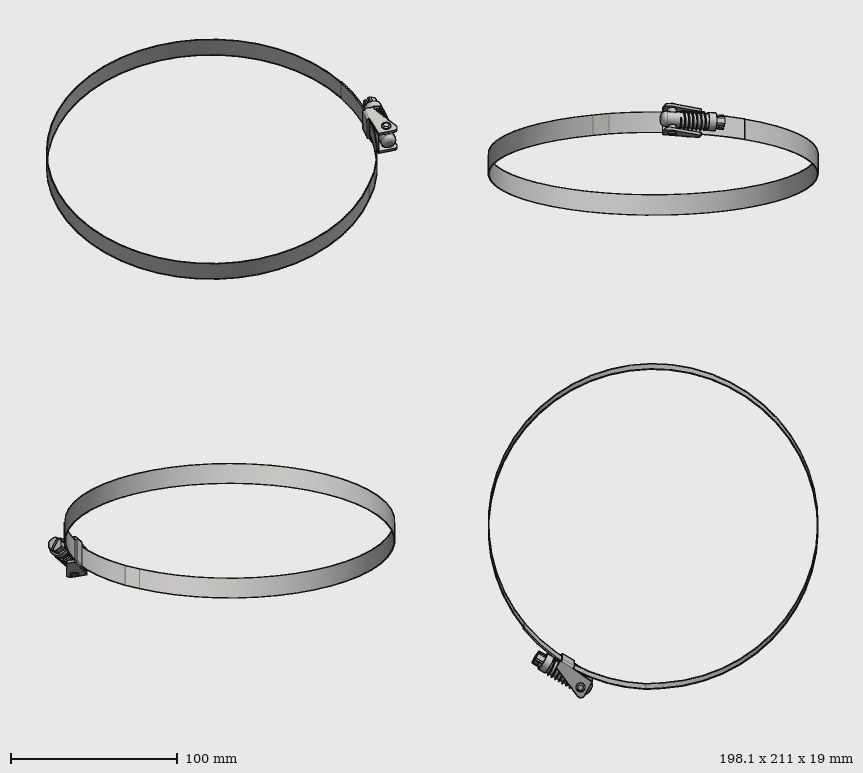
import cadquery as cq
import math

OVERALL_LENGTH = 211.0

BAND_DIAMETER = 198.1
BAND_THICKNESS = 0.5
BAND_WIDTH = 12.7
JOG_START_ANGLE = 55.0
JOG_END_ANGLE = 61.0
TAIL_END_ANGLE = 110.0

PLATE_THICKNESS = 1.7
PLATE_OUTER_Z = 8.2
PLATE_LEFT = -4.9
PLATE_RIGHT = 18.8
PLATE_FOOT_RIGHT = 18.4
PLATE_CORNER_RADIUS = 2.5
PLATE_SLOPE = math.radians(22.5)
PLATE_HEEL_Y = 98.5
FLOOR_BOTTOM = 99.5
FLOOR_THICKNESS = 0.5
STRAP_LEFT = -4.2
STRAP_RIGHT = 4.2
STRAP_BOTTOM = 97.0
STRAP_THICKNESS = 1.3
STRAP_EDGE_RADIUS = 1.3

SCREW_Y = 106.0
HEAD_START = -17.7
COLLAR_START = -12.7
COLLAR_END = -8.0
TIP_END = 20.9
HEAD_ACROSS_FLATS = 8.0
HEAD_CORNER_DIAMETER = 8.7
SLOT_WIDTH = 1.3
SLOT_DEPTH = 3.2
SLOT_ANGLE = 30.0
COLLAR_RADIUS = 5.5
SHANK_RADIUS = 4.6
TIP_ROUNDING = 3.2
THREAD_RADIUS = 5.7
THREAD_PITCH = 2.5
THREAD_TURNS = 6.5
THREAD_START = -7.0
THREAD_ROOT_WIDTH = 0.8
THREAD_CREST_WIDTH = 0.5
THREAD_ROOT_OVERLAP = 0.2

PIN_X = 14.0
PIN_RADIUS = 2.7
PIN_OUTER_Z = 9.5
PIN_INNER_Z = 3.8
PIN_CHAMFER_WIDTH = 1.0
PIN_CHAMFER_HEIGHT = 0.5

BAND_RADIUS = BAND_DIAMETER / 2
PLATE_INNER_Z = PLATE_OUTER_Z - PLATE_THICKNESS
PLATE_TOP = OVERALL_LENGTH - BAND_RADIUS


def polar(radius, angle):
    """Point at a radius and an angle in degrees from +X."""
    turn = math.radians(angle)
    return (radius * math.cos(turn), radius * math.sin(turn))


def make_band():
    inner = BAND_RADIUS - BAND_THICKNESS
    lapped = BAND_RADIUS + BAND_THICKNESS
    start = math.degrees(math.acos(STRAP_RIGHT / BAND_RADIUS))
    turn_end = 360.0 + JOG_START_ANGLE

    def arc(outline, radius, first, last):
        return outline.threePointArc(polar(radius, (first + last) / 2), polar(radius, last))

    turn = cq.Workplane("XY").moveTo(*polar(BAND_RADIUS, start))
    turn = arc(turn, BAND_RADIUS, start, turn_end)
    turn = turn.lineTo(*polar(inner, JOG_START_ANGLE))
    turn = arc(turn, inner, turn_end, start)
    turn = turn.close().extrude(BAND_WIDTH / 2, both=True)

    tail = cq.Workplane("XY").moveTo(*polar(BAND_RADIUS, JOG_START_ANGLE))
    tail = tail.lineTo(*polar(lapped, JOG_END_ANGLE))
    tail = arc(tail, lapped, JOG_END_ANGLE, TAIL_END_ANGLE)
    tail = tail.lineTo(*polar(BAND_RADIUS, TAIL_END_ANGLE))
    tail = arc(tail, BAND_RADIUS, TAIL_END_ANGLE, JOG_END_ANGLE)
    tail = tail.lineTo(*polar(inner, JOG_START_ANGLE))
    tail = tail.close().extrude(BAND_WIDTH / 2, both=True)
    return turn.union(tail)


def make_side_plate(bottom_z):
    corner_x = PLATE_RIGHT - PLATE_CORNER_RADIUS
    corner_y = PLATE_TOP - PLATE_CORNER_RADIUS
    slope_end = (
        corner_x - PLATE_CORNER_RADIUS * math.sin(PLATE_SLOPE),
        corner_y + PLATE_CORNER_RADIUS * math.cos(PLATE_SLOPE),
    )
    slope_start_y = slope_end[1] - (slope_end[0] - PLATE_LEFT) * math.tan(PLATE_SLOPE)
    return (
        cq.Workplane("XY", origin=(0, 0, bottom_z))
        .moveTo(PLATE_LEFT, PLATE_HEEL_Y)
        .lineTo(STRAP_RIGHT, PLATE_HEEL_Y)
        .lineTo(PLATE_FOOT_RIGHT, FLOOR_BOTTOM)
        .lineTo(PLATE_RIGHT, corner_y)
        .threePointArc((corner_x, PLATE_TOP), slope_end)
        .lineTo(PLATE_LEFT, slope_start_y)
        .close()
        .extrude(PLATE_THICKNESS)
    )


def make_strap():
    """U-shaped strap that carries the band from below."""
    length = STRAP_RIGHT - STRAP_LEFT
    height = FLOOR_BOTTOM - STRAP_BOTTOM
    corner = (STRAP_LEFT, STRAP_BOTTOM, -PLATE_OUTER_Z)
    outside = cq.Workplane("XY").box(length, height, 2 * PLATE_OUTER_Z, centered=False).translate(corner)
    outside = outside.faces("<Y").edges("|X").fillet(STRAP_EDGE_RADIUS)
    passage = (
        cq.Workplane("XY")
        .box(length, height, 2 * PLATE_INNER_Z, centered=False)
        .translate((STRAP_LEFT, STRAP_BOTTOM + STRAP_THICKNESS, -PLATE_INNER_Z))
    )
    return outside.cut(passage)


def make_housing(pins):
    floor = (
        cq.Workplane("XY")
        .box(PLATE_FOOT_RIGHT - PLATE_LEFT, FLOOR_THICKNESS, 2 * PLATE_INNER_Z, centered=False)
        .translate((PLATE_LEFT, FLOOR_BOTTOM, -PLATE_INNER_Z))
    )
    housing = make_strap().union(floor)
    for bottom_z in (-PLATE_OUTER_Z, PLATE_INNER_Z):
        housing = housing.union(make_side_plate(bottom_z))
    for pin in pins:
        housing = housing.cut(pin)
    return housing


def across_screw(x):
    """Workplane square to the screw axis, its normal along +X and its own X along -Y."""
    return cq.Workplane(cq.Plane(origin=(x, SCREW_Y, 0), xDir=(0, -1, 0), normal=(1, 0, 0)))


def make_head():
    length = COLLAR_START - HEAD_START
    corner_radius = HEAD_ACROSS_FLATS / math.sqrt(3)
    corners = [polar(corner_radius, 30 + 60 * i) for i in range(6)]
    head = across_screw(HEAD_START).polyline(corners).close().extrude(length)
    head = head.intersect(across_screw(HEAD_START).circle(HEAD_CORNER_DIAMETER / 2).extrude(length))
    slot = (
        across_screw(HEAD_START)
        .transformed(rotate=(0, 0, SLOT_ANGLE))
        .rect(SLOT_WIDTH, 2 * HEAD_CORNER_DIAMETER)
        .extrude(SLOT_DEPTH)
    )
    return head.cut(slot)


def make_thread():
    """Right-handed helical ridge that starts on the band side of the shank."""
    root = SHANK_RADIUS - THREAD_ROOT_OVERLAP
    path = cq.Wire.makeHelix(THREAD_PITCH, THREAD_PITCH * THREAD_TURNS, SHANK_RADIUS)
    ridge = (
        cq.Workplane("XZ")
        .polyline([
            (root, -THREAD_ROOT_WIDTH / 2),
            (THREAD_RADIUS, -THREAD_CREST_WIDTH / 2),
            (THREAD_RADIUS, THREAD_CREST_WIDTH / 2),
            (root, THREAD_ROOT_WIDTH / 2),
        ])
        .close()
        .sweep(cq.Workplane(path), isFrenet=True)
    )
    placement = across_screw(THREAD_START).plane.location
    return cq.Workplane(ridge.val().moved(placement))


def make_screw(pins):
    collar = across_screw(COLLAR_START).circle(COLLAR_RADIUS).extrude(COLLAR_END - COLLAR_START)
    shank = across_screw(COLLAR_END).circle(SHANK_RADIUS).extrude(TIP_END - COLLAR_END)
    shank = shank.faces(">X").edges().fillet(TIP_ROUNDING)
    screw = shank.union(make_thread()).union(collar).union(make_head())
    for pin in pins:
        screw = screw.cut(pin)
    return screw


def make_pin(side):
    """Pin on the +Z side (side = 1) or the -Z side (side = -1)."""
    tip_radius = PIN_RADIUS - PIN_CHAMFER_WIDTH
    half_section = [
        (0, side * PIN_INNER_Z),
        (PIN_RADIUS, side * PIN_INNER_Z),
        (PIN_RADIUS, side * (PIN_OUTER_Z - PIN_CHAMFER_HEIGHT)),
        (tip_radius, side * PIN_OUTER_Z),
        (0, side * PIN_OUTER_Z),
    ]
    pin = cq.Workplane("XZ").polyline(half_section).close().revolve(360, (0, 0), (0, 1))
    return pin.translate((PIN_X, SCREW_Y, 0))


band = make_band()
pins = [make_pin(side) for side in (1, -1)]
housing = make_housing(pins)
screw = make_screw(pins)

result = cq.Compound.makeCompound([
    band.solids().val(),
    housing.solids().val(),
    screw.solids().val(),
    *[pin.val() for pin in pins],
])